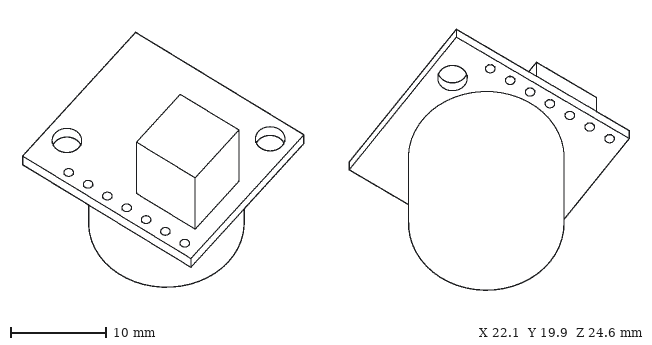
import cadquery as cq

BOARD_X = 22.1
BOARD_Y = 19.9
BOARD_THICKNESS = 1.6

MOUNT_HOLE_DIAMETER = 3.1
MOUNT_HOLE_EDGE_DISTANCE = 2.54
FRONT_MOUNT_HOLE_EDGE_DISTANCE = 4.4

PIN_HOLE_COUNT = 7
PIN_HOLE_DIAMETER = 1.0
PIN_HOLE_PITCH = 2.54
PIN_ROW_FRONT_DISTANCE = 1.2
PIN_ROW_RIGHT_DISTANCE = 1.7

BLOCK_SIDE = 7.7
BLOCK_HEIGHT = 9.35
BLOCK_RIGHT_DISTANCE = 1.9
BLOCK_FRONT_DISTANCE = 3.3

CAN_DIAMETER = 16.4
CAN_HEIGHT = 13.65
CAN_CENTRE_Y = 0.55
CAN_RIM_FILLET = 0.5

RIGHT_EDGE = BOARD_X / 2
LEFT_EDGE = -RIGHT_EDGE
BACK_EDGE = BOARD_Y / 2
FRONT_EDGE = -BACK_EDGE


def drill(body, points, diameter):
    """Cut round holes through the full board thickness."""
    holes = cq.Workplane("XY").pushPoints(points).circle(diameter / 2).extrude(BOARD_THICKNESS)
    return body.cut(holes)


def make_board():
    board = cq.Workplane("XY").box(BOARD_X, BOARD_Y, BOARD_THICKNESS, centered=(True, True, False))
    mount_points = [
        (LEFT_EDGE + MOUNT_HOLE_EDGE_DISTANCE, FRONT_EDGE + FRONT_MOUNT_HOLE_EDGE_DISTANCE),
        (RIGHT_EDGE - MOUNT_HOLE_EDGE_DISTANCE, BACK_EDGE - MOUNT_HOLE_EDGE_DISTANCE),
    ]
    last_pin_x = RIGHT_EDGE - PIN_ROW_RIGHT_DISTANCE
    pin_y = FRONT_EDGE + PIN_ROW_FRONT_DISTANCE
    pin_points = [(last_pin_x - i * PIN_HOLE_PITCH, pin_y) for i in range(PIN_HOLE_COUNT)]
    board = drill(board, mount_points, MOUNT_HOLE_DIAMETER)
    return drill(board, pin_points, PIN_HOLE_DIAMETER)


def make_block():
    centre_x = RIGHT_EDGE - BLOCK_RIGHT_DISTANCE - BLOCK_SIDE / 2
    centre_y = FRONT_EDGE + BLOCK_FRONT_DISTANCE + BLOCK_SIDE / 2
    return (
        cq.Workplane("XY", origin=(centre_x, centre_y, BOARD_THICKNESS))
        .rect(BLOCK_SIDE, BLOCK_SIDE)
        .extrude(BLOCK_HEIGHT)
    )


def make_can():
    """Cylinder hanging below the board, rounded at its lower rim."""
    can = (
        cq.Workplane("XY", origin=(0, CAN_CENTRE_Y, 0))
        .circle(CAN_DIAMETER / 2)
        .extrude(-CAN_HEIGHT)
    )
    return can.faces("<Z").edges().fillet(CAN_RIM_FILLET)


result = make_board().union(make_block()).union(make_can())